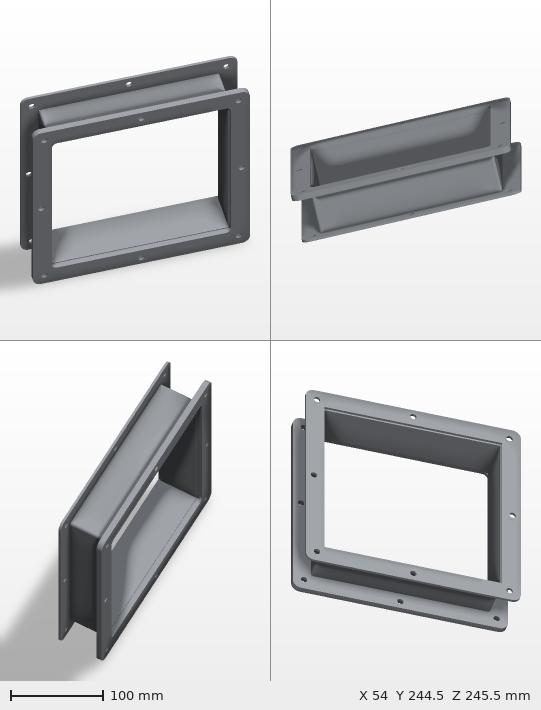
import cadquery as cq

frame_side = 244.5
frame_corner_radius = 9.5
frame_opening = 201.8
rear_opening_radius = 6.0
flange_thickness = 3.0
gasket_thickness = 3.7

hole_diameter = 7.0
corner_hole_offset = 109.5
middle_hole_offset = 113.0

duct_side = 203.8
duct_wall = 2.0
duct_corner_radius = 3.0

total_depth = 54.0
front_lift = 1.0

front_flange_x = -total_depth / 2
duct_x = front_flange_x + flange_thickness
rear_flange_x = total_depth / 2 - flange_thickness
gasket_x = rear_flange_x - gasket_thickness
duct_length = gasket_x - duct_x

front_centre_z = front_lift / 2
rear_centre_z = -front_lift / 2

corner_holes = [
    (y_sign * corner_hole_offset, z_sign * corner_hole_offset)
    for y_sign in (-1, 1)
    for z_sign in (-1, 1)
]
middle_holes = [
    (middle_hole_offset, 0),
    (-middle_hole_offset, 0),
    (0, middle_hole_offset),
    (0, -middle_hole_offset),
]


def square_prism(side, start_x, length, centre_z, corner_radius=0):
    """Square block along X, with its long edges rounded if a radius is given."""
    prism = (
        cq.Workplane("YZ", origin=(start_x, 0, centre_z))
        .rect(side, side)
        .extrude(length)
    )
    if corner_radius:
        prism = prism.edges("|X").fillet(corner_radius)
    return prism


def drilled_frame(start_x, thickness, centre_z, opening_radius=0):
    """Flat square frame with a square opening and eight bolt holes."""
    plate = square_prism(frame_side, start_x, thickness, centre_z, frame_corner_radius)
    opening = square_prism(frame_opening, start_x, thickness, centre_z, opening_radius)
    holes = (
        cq.Workplane("YZ", origin=(start_x, 0, centre_z))
        .pushPoints(corner_holes + middle_holes)
        .circle(hole_diameter / 2)
        .extrude(thickness)
    )
    return plate.cut(opening).cut(holes).solids()


def square_duct():
    """Square tube, rounded along its outer edges and sharp along its inner ones."""
    outside = square_prism(duct_side, duct_x, duct_length, rear_centre_z, duct_corner_radius)
    inside = square_prism(duct_side - 2 * duct_wall, duct_x, duct_length, rear_centre_z)
    return outside.cut(inside).solids()


front_flange = drilled_frame(front_flange_x, flange_thickness, front_centre_z)
duct = square_duct()
gasket = drilled_frame(gasket_x, gasket_thickness, rear_centre_z)
rear_flange = drilled_frame(rear_flange_x, flange_thickness, rear_centre_z, rear_opening_radius)

result = cq.Compound.makeCompound(
    [front_flange.val(), duct.val(), gasket.val(), rear_flange.val()]
)